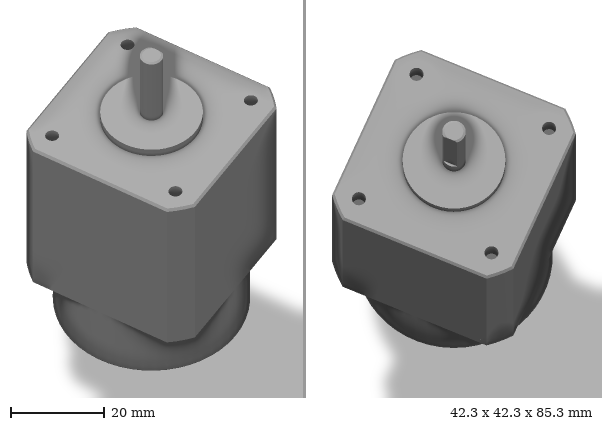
import cadquery as cq
import math

width = 42.3
half_width = width / 2
corner_cut = 4.35
corner_radius = math.hypot(half_width, half_width - corner_cut)

drum_bottom = 8.0
plate_bottom = 23.5
plate_top = 25.5
motor_face = 65.3
pilot_height = 2.0
pilot_top = motor_face + pilot_height
shaft_top = 85.3

pilot_diameter = 22.0
face_chamfer = 0.5
shaft_diameter = 5.0
shaft_flat_offset = 2.0
shaft_flat_length = 15.0
shaft_chamfer_height = 0.25
shaft_chamfer_width = 0.5
hole_diameter = 3.0
hole_spacing = 31.0
hole_depth = 4.5

boss_diameter = pilot_diameter
edge_fillet = 0.5


def square_with_arc_corners(bottom, top):
    """Square block trimmed by a coaxial cylinder, giving slightly curved corners."""
    height = top - bottom
    block = cq.Workplane("XY", origin=(0, 0, bottom)).rect(width, width).extrude(height)
    return block.intersect(cylinder(2 * corner_radius, bottom, top))


def cylinder(diameter, bottom, top):
    return cq.Workplane("XY", origin=(0, 0, bottom)).circle(diameter / 2).extrude(top - bottom)


def make_shaft():
    """Output shaft with a bevelled tip and a flat on its +Y side."""
    radius = shaft_diameter / 2
    shaft = (
        cq.Workplane("XZ")
        .moveTo(0, motor_face)
        .lineTo(radius, motor_face)
        .lineTo(radius, shaft_top - shaft_chamfer_height)
        .lineTo(radius - shaft_chamfer_width, shaft_top)
        .lineTo(0, shaft_top)
        .close()
        .revolve(360, (0, 0, 0), (0, 1, 0))
    )
    flat_cutter = (
        cq.Workplane("XY", origin=(0, shaft_flat_offset, shaft_top - shaft_flat_length))
        .box(shaft_diameter, shaft_diameter, shaft_flat_length, centered=(True, False, False))
    )
    return shaft.cut(flat_cutter)


def make_motor():
    """Motor housing with blind mounting holes, pilot disc and shaft."""
    housing = square_with_arc_corners(plate_top, motor_face).faces(">Z").chamfer(face_chamfer)
    mounting_holes = (
        cq.Workplane("XY", origin=(0, 0, motor_face))
        .rarray(hole_spacing, hole_spacing, 2, 2)
        .circle(hole_diameter / 2)
        .extrude(-hole_depth)
    )
    pilot = cylinder(pilot_diameter, motor_face, pilot_top)
    return housing.cut(mounting_holes).union(pilot).union(make_shaft())


def make_brake():
    """Rear brake: mounting plate, round drum and boss, with rounded edges."""
    drum = cylinder(width, drum_bottom, plate_bottom).faces("<Z").edges().fillet(edge_fillet)
    boss = cylinder(boss_diameter, 0, drum_bottom).faces("<Z").edges().fillet(edge_fillet)
    drum_and_boss = drum.union(boss)
    drum_face_point = (0, (half_width + boss_diameter / 2) / 2, drum_bottom)
    drum_face = drum_and_boss.faces(cq.selectors.NearestToPointSelector(drum_face_point))
    boss_root = drum_face.edges(cq.selectors.RadiusNthSelector(0))
    drum_and_boss = boss_root.fillet(edge_fillet)
    return drum_and_boss.union(square_with_arc_corners(plate_bottom, plate_top))


motor = make_motor()
brake = make_brake()
result = cq.Compound.makeCompound([motor.val(), brake.val()])